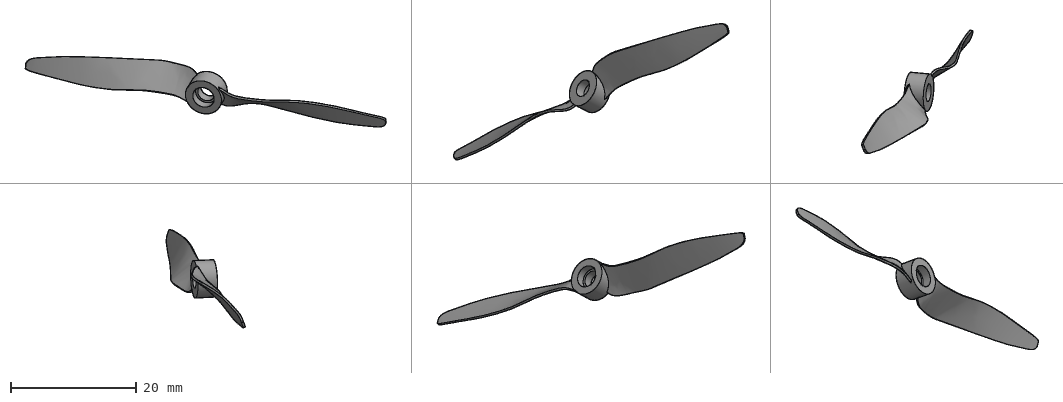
import cadquery as cq

HUB_DIAMETER = 6.0
HUB_LENGTH = 3.2
BORE_DIAMETER = 2.8
COUNTERBORE_DIAMETER = 3.55
COUNTERBORE_DEPTH = 1.5

SPAN = 60.1
BLADE_THICKNESS = 0.35

STATIONS = [
    (2.0, 0.4, 3.1, -1.9, 2.35),
    (3.0, 0.35, 3.65, -1.6, 2.95),
    (4.3, 0.35, 4.25, -1.0, 2.95),
    (5.95, 0.35, 4.85, -0.8, 2.7),
    (8.1, 0.4, 5.2, -0.8, 2.65),
    (10.8, 0.5, 4.85, -0.95, 2.6),
    (14.1, 0.5, 4.2, -1.5, 2.6),
    (17.35, 0.5, 3.6, -1.75, 2.6),
    (20.6, 0.55, 3.05, -1.7, 2.45),
    (23.85, 0.65, 2.65, -1.4, 2.2),
    (27.1, 0.7, 2.15, -1.0, 1.75),
    (28.85, 0.85, 1.9, -0.85, 1.45),
    (29.7, 0.9, 1.75, -0.65, 1.0),
    (SPAN / 2, 0.95, 1.55, -0.5, 0.5),
]


def blade_section(distance, y_low, y_high, z_low, z_high):
    """Thin rectangle lying along the diagonal of its Y-Z bounds."""
    depth = y_high - y_low
    height = z_high - z_low
    chord = (depth**2 + height**2) ** 0.5
    y_edge = BLADE_THICKNESS * height / chord
    z_edge = BLADE_THICKNESS * depth / chord
    corners = [
        (y_low, z_low + z_edge),
        (y_low + y_edge, z_low),
        (y_high, z_high - z_edge),
        (y_high - y_edge, z_high),
    ]
    return cq.Wire.makePolygon([cq.Vector(-distance, y, z) for y, z in corners], close=True)


def make_blade():
    sections = [blade_section(*station) for station in STATIONS]
    return cq.Workplane(cq.Solid.makeLoft(sections))


def cylinder(diameter, length):
    """Cylinder running from Y = 0 toward +Y."""
    return cq.Workplane("XZ").circle(diameter / 2).extrude(-length)


blade = make_blade()
opposite_blade = blade.rotate((0, 0, 0), (0, 1, 0), 180)
hub = cylinder(HUB_DIAMETER, HUB_LENGTH)
bore = cylinder(BORE_DIAMETER, HUB_LENGTH)
counterbore = cylinder(COUNTERBORE_DIAMETER, COUNTERBORE_DEPTH)

result = hub.union(blade).union(opposite_blade).cut(bore).cut(counterbore)